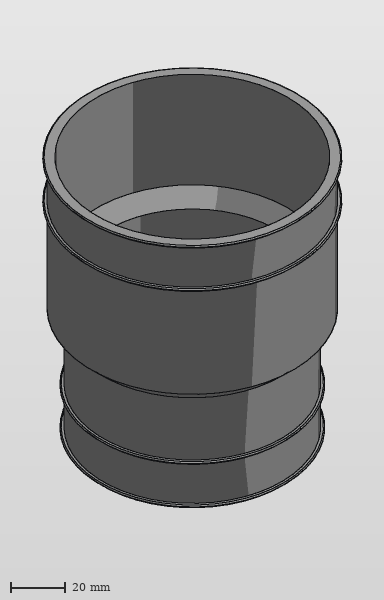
import cadquery as cq

height = 126.6
upper_diameter = 107.6
lower_diameter = 95.0
upper_bore = 101.7
lower_bore = 88.9

shoulder_bottom = 50.8

bore_shoulder_top = 75.6
bore_shoulder_bottom = bore_shoulder_top - (upper_bore - lower_bore) / 2

rib_projection = 1.5
rib_bevel = 0.5
rib_height = rib_bevel + rib_projection
rib_pitch = 20.0


def stepped_solid(lower, upper, cone_bottom):
    """Solid of revolution with two diameters joined by a 45 degree cone."""
    cone_top = cone_bottom + (upper - lower) / 2
    return (
        cq.Workplane("XZ")
        .moveTo(0, 0)
        .lineTo(lower / 2, 0)
        .lineTo(lower / 2, cone_bottom)
        .lineTo(upper / 2, cone_top)
        .lineTo(upper / 2, height)
        .lineTo(0, height)
        .close()
        .revolve(360, (0, 0, 0), (0, 1, 0))
    )


def rib(tube_diameter, bottom):
    """Solid disc with a flared underside, to be bored out with the tube."""
    tube_radius = tube_diameter / 2
    rib_radius = tube_radius + rib_projection
    return (
        cq.Workplane("XZ")
        .moveTo(0, bottom)
        .lineTo(tube_radius, bottom)
        .lineTo(rib_radius, bottom + rib_projection)
        .lineTo(rib_radius - rib_bevel, bottom + rib_height)
        .lineTo(0, bottom + rib_height)
        .close()
        .revolve(360, (0, 0, 0), (0, 1, 0))
    )


body = stepped_solid(lower_diameter, upper_diameter, shoulder_bottom)

for offset in (0, rib_pitch):
    body = body.union(rib(lower_diameter, offset))
    body = body.union(rib(upper_diameter, height - rib_height - offset))

result = body.cut(stepped_solid(lower_bore, upper_bore, bore_shoulder_bottom))